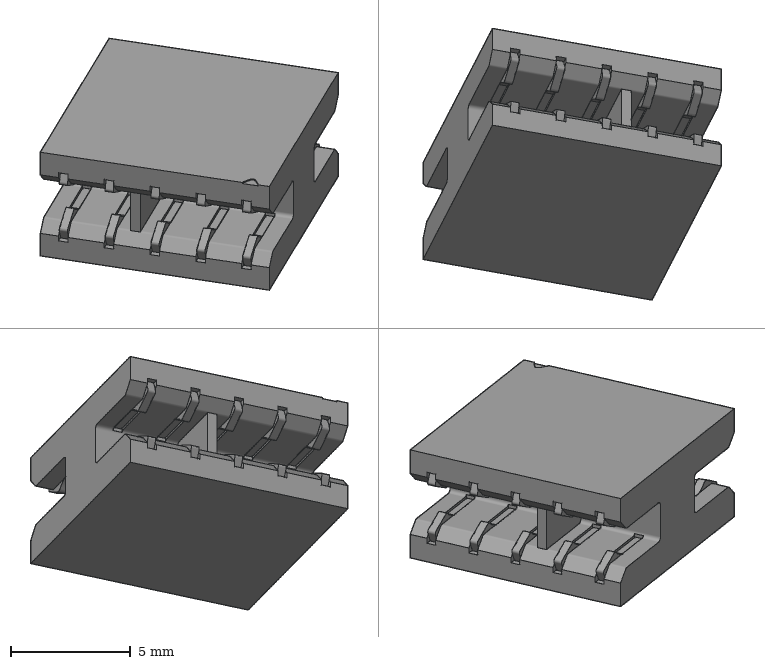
import cadquery as cq
import math

length = 10.0
width = 10.0
height = 5.0
web_thickness = 3.0
channel_height = 1.82
channel_corner_radius = 0.17
mouth_chamfer = 0.5
mouth_edge_radius = 0.15

rib_x = -1.0
rib_width = 0.44
rib_embed = 0.05

contact_count = 5
contact_pitch = 2.0
contact_width = 0.36
slot_width = 0.41
slot_start_y = 1.53
slot_half_span = 1.64
contact_sink = 0.08
contact_rise_start = 3.24
contact_peak_y = 3.94
contact_peak_z = 0.56
contact_end_y = 5.01
contact_tip_angle = 26.0
contact_rise_sag = 0.06
contact_tip_radius = 0.12
contact_peak_radius = 0.2

mark_x = 4.17
mark_half_width = 0.33
mark_shoulder = 0.06
mark_apex = 0.52
mark_corner_radius = 0.15
mark_depth = 0.05

half_width = width / 2
half_web = web_thickness / 2
half_channel = channel_height / 2
mouth_floor_y = half_width - mouth_chamfer


def make_body():
    """Block with both channels, their rounded inner corners and their chamfered, rounded mouths."""
    block = cq.Workplane("XY").box(length, width, height)
    channel = (
        cq.Workplane("YZ")
        .moveTo(half_web, half_channel)
        .lineTo(mouth_floor_y, half_channel)
        .lineTo(half_width, half_channel + mouth_chamfer)
        .lineTo(half_width, -half_channel - mouth_chamfer)
        .lineTo(mouth_floor_y, -half_channel)
        .lineTo(half_web, -half_channel)
        .close()
        .extrude(length / 2, both=True)
    )
    block = block.cut(channel).cut(channel.mirror("XZ"))
    for y, radius in ((half_web, channel_corner_radius), (mouth_floor_y, mouth_edge_radius)):
        for side in (-1, 1):
            for level in (-1, 1):
                spot = (0, side * y, level * half_channel)
                block = block.edges(cq.selectors.NearestToPointSelector(spot)).fillet(radius)
    return block


def make_ribs():
    """One upright bar through the web that forms the rib in both channels."""
    bar = cq.Workplane("XY").box(rib_width, 2 * mouth_floor_y, channel_height + 2 * rib_embed)
    return bar.translate((rib_x, 0, 0))


def make_slot():
    """Slot for one contact, cut into the upper wall of the +Y channel."""
    slot_length = half_width - slot_start_y
    slot = cq.Workplane("XY").box(slot_width, slot_length, slot_half_span, centered=(True, False, False))
    return slot.translate((0, slot_start_y, 0))


def make_contact():
    """One bent contact under the upper wall of the +Y channel, filling its slot behind the bend."""
    slope = math.tan(math.radians(contact_tip_angle))
    flat_z = half_channel + contact_sink
    tip_z = contact_peak_z + slope * (contact_end_y - contact_peak_y)
    heel_y = contact_end_y - slope * (slot_half_span - tip_z)
    contact = (
        cq.Workplane("YZ")
        .moveTo(slot_start_y, flat_z)
        .lineTo(contact_rise_start, flat_z)
        .sagittaArc((contact_peak_y, contact_peak_z), contact_rise_sag)
        .lineTo(contact_end_y, tip_z)
        .lineTo(heel_y, slot_half_span)
        .lineTo(slot_start_y, slot_half_span)
        .close()
        .extrude(contact_width / 2, both=True)
    )
    bends = (
        (contact_peak_y, contact_peak_z, contact_peak_radius),
        (contact_end_y, tip_z, contact_tip_radius),
    )
    for y, z, radius in bends:
        contact = contact.edges(cq.selectors.NearestToPointSelector((0, y, z))).fillet(radius)
    return contact


def four_way(shape):
    """The shape with its mirror images, one for each wall of the two channels."""
    pair = shape.union(shape.mirror("XZ"))
    return pair.union(pair.mirror("XY"))


def make_mark():
    """Rounded triangle that opens onto the -Y side."""
    corners = ((-mark_half_width, mark_shoulder), (0, mark_apex), (mark_half_width, mark_shoulder))
    base_z = height / 2 - mark_depth
    mark = (
        cq.Workplane("XY", origin=(mark_x, -half_width, base_z))
        .moveTo(-mark_half_width, 0)
        .polyline(corners, includeCurrent=True)
        .lineTo(mark_half_width, 0)
        .close()
        .extrude(mark_depth)
    )
    for x, y in corners:
        corner = cq.selectors.NearestToPointSelector((mark_x + x, y - half_width, base_z + mark_depth / 2))
        mark = mark.edges(corner).fillet(mark_corner_radius)
    return mark


slots = four_way(make_slot())
contacts = four_way(make_contact())

result = make_body()
for index in range(contact_count):
    x = (index - (contact_count - 1) / 2) * contact_pitch
    result = result.cut(slots.translate((x, 0, 0))).union(contacts.translate((x, 0, 0)))
result = result.union(make_ribs()).cut(make_mark())